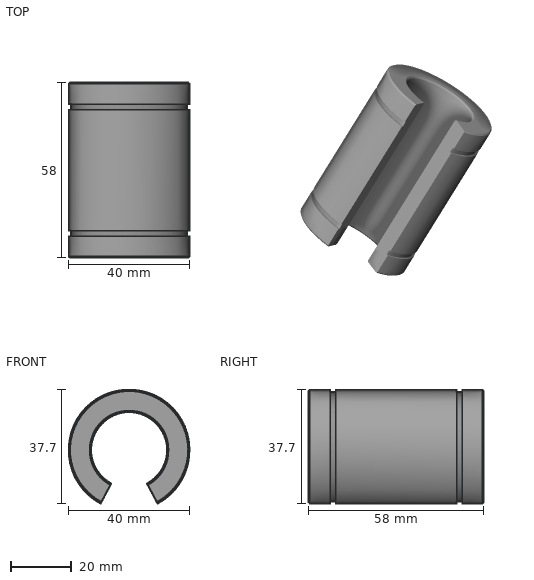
import cadquery as cq
import math

length = 58.0
outer_radius = 20.0
bore_radius = 12.5
edge_chamfer = 0.5

groove_width = 1.8
groove_depth = 0.75
groove_end_distance = 7.2

opening_angle = 56.0


def cylinder(radius, y_start, height):
    """Solid cylinder along +Y from y_start."""
    return cq.Workplane("XZ", origin=(0, y_start, 0)).circle(radius).extrude(-height)


def make_sleeve():
    """Tube with chamfered inner and outer end edges."""
    outside = cylinder(outer_radius, -length / 2, length)
    bore = cylinder(bore_radius, -length / 2, length)
    return outside.cut(bore).faces("<Y or >Y").edges().chamfer(edge_chamfer)


def make_groove(y_start):
    """Ring that cuts one groove into the outer surface."""
    ring = cylinder(outer_radius + groove_depth, y_start, groove_width)
    return ring.cut(cylinder(outer_radius - groove_depth, y_start, groove_width))


def make_opening():
    """Wedge from the axis outwards, reaching past the outer surface."""
    depth = 2 * outer_radius
    half_width = depth * math.tan(math.radians(opening_angle / 2))
    return (
        cq.Workplane("XZ")
        .polyline([(0, 0), (-half_width, -depth), (half_width, -depth)])
        .close()
        .extrude(length, both=True)
    )


result = make_sleeve()
front_groove_start = -length / 2 + groove_end_distance
for groove_start in (front_groove_start, -front_groove_start - groove_width):
    result = result.cut(make_groove(groove_start))
result = result.cut(make_opening())